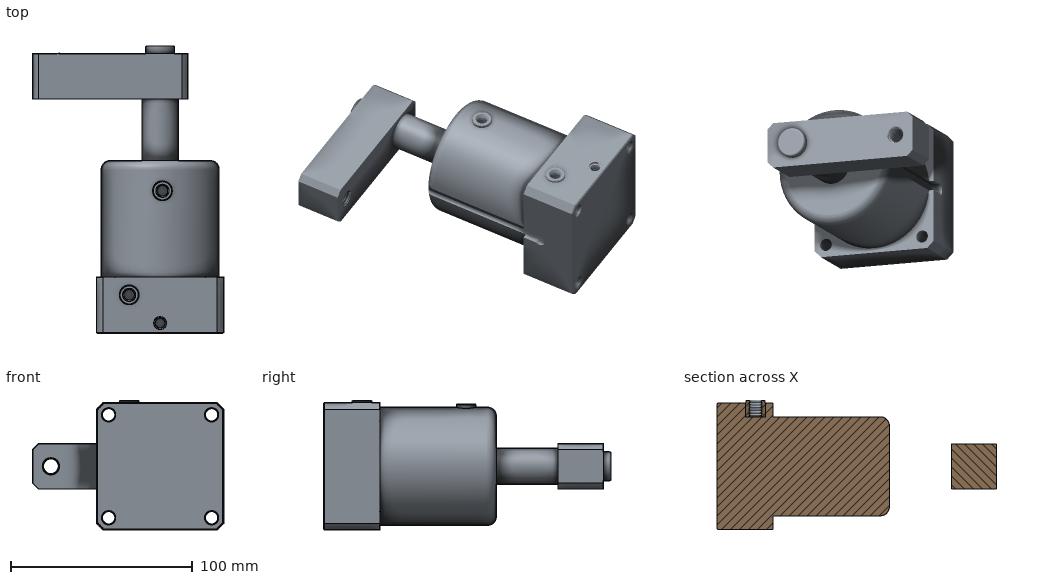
import cadquery as cq


BASE_SIDE = 70.0
BASE_LENGTH = 31.0
BASE_CORNER = 3.7
BASE_RIM = 0.6
BASE_TOP = BASE_SIDE / 2

BOLT_CIRCLE = 80.0
BOLT_PITCH = BOLT_CIRCLE / 2**0.5
BOLT_HOLE = 6.8
BOLT_HOLE_RIM = 0.5

BARREL_RADIUS = 32.5
BARREL_END = 95.0
BARREL_FILLET = 5.0

SLOT_MOUTH = 5.2
SLOT_WIDTH = 6.6
SLOT_LIP = 0.5
SLOT_DEPTH = 3.5
SLOT_END = 21.0

ROD_DIAMETER = 20.0
ARM_START = 128.8
ARM_SIDE = 25.0
ARM_TIP = -70.0
ARM_HEEL = 15.3
ARM_CORNER = 3.2
ARM_HOLE_X = -60.0
STUD_DIAMETER = 16.0
STUD_END = 158.0
STUD_RIM = 1.0

PORT_OUTER = 10.8
PORT_ROOT = 7.2
PORT_CREST = 5.8
PORT_PITCH = 1.5
PORT_RIDGES = 6
PORT_LENGTH = PORT_PITCH * PORT_RIDGES
PORT_RIM = 0.4
BASE_PORT = (-17.0, 21.2, 36.2)
BARREL_PORT = (1.3, 78.4, 34.1)
PORTS = [BASE_PORT, BARREL_PORT]

COIL_GAP = 0.25
CREST_SHARE = 0.5

VENT_X = 0.0
VENT_Y = 5.7
VENT_OUTER = 7.0
VENT_INNER = 5.4
VENT_PITCH = 1.0
VENT_TURNS = 6
VENT_BOTTOM = BASE_TOP - VENT_PITCH * (VENT_TURNS + 1)

ARM_COIL_OUTER = 9.4
ARM_COIL_INNER = 8.2
ARM_COIL_PITCH = 1.5
ARM_COIL_TURNS = int(ARM_SIDE / ARM_COIL_PITCH)


def along_y(start):
    """Workplane at Y = start whose extrusions run toward +Y."""
    return cq.Workplane(cq.Plane(origin=(0, start, 0), xDir=(1, 0, 0), normal=(0, 1, 0)))


def cylinder_y(diameter, start, end):
    return along_y(start).circle(diameter / 2).extrude(end - start)


def cylinder_z(x, y, diameter, bottom, top):
    return cq.Workplane("XY", origin=(x, y, bottom)).circle(diameter / 2).extrude(top - bottom)


def block(x_start, x_end, y_start, y_end, height):
    """Box centred on Z = 0."""
    return (
        cq.Workplane("XY")
        .box(x_end - x_start, y_end - y_start, height, centered=(False, False, True))
        .translate((x_start, y_start, 0))
    )


def make_coil(outer, inner, pitch, turns):
    """Thread coil standing on the XY plane around Z, tapering toward its inner crest."""
    root = pitch - COIL_GAP
    path = cq.Wire.makeHelix(pitch, pitch * turns, outer / 2)
    profile = (
        cq.Workplane("XZ")
        .moveTo(outer / 2, 0)
        .lineTo(outer / 2, root)
        .lineTo(inner / 2, root * (1 + CREST_SHARE) / 2)
        .lineTo(inner / 2, root * (1 - CREST_SHARE) / 2)
        .close()
    )
    return profile.sweep(cq.Workplane(path), isFrenet=True)


def make_vent_coil():
    coil = make_coil(VENT_OUTER, VENT_INNER, VENT_PITCH, VENT_TURNS)
    return coil.translate((VENT_X, VENT_Y, VENT_BOTTOM))


def make_arm_coil():
    coil = make_coil(ARM_COIL_OUTER, ARM_COIL_INNER, ARM_COIL_PITCH, ARM_COIL_TURNS)
    return coil.rotate((0, 0, 0), (1, 0, 0), -90).translate((ARM_HOLE_X, ARM_START, 0))


def make_port_sleeve(x, y, top):
    """Tube along Z whose bore carries a row of V-shaped ridges."""
    root = PORT_ROOT / 2
    crest = PORT_CREST / 2
    outer = PORT_OUTER / 2
    profile = cq.Workplane("XZ").moveTo(root, 0)
    for ridge in range(PORT_RIDGES):
        profile = profile.lineTo(crest, PORT_PITCH * (ridge + 0.5))
        profile = profile.lineTo(root, PORT_PITCH * (ridge + 1))
    profile = (
        profile.lineTo(outer - PORT_RIM, PORT_LENGTH)
        .lineTo(outer, PORT_LENGTH - PORT_RIM)
        .lineTo(outer, 0)
        .close()
    )
    sleeve = profile.revolve(360, (0, 0, 0), (0, 1, 0))
    return sleeve.translate((x, y, top - PORT_LENGTH))


def make_base():
    base = (
        along_y(0)
        .rect(BASE_SIDE, BASE_SIDE)
        .extrude(BASE_LENGTH)
        .edges("|Y")
        .chamfer(BASE_CORNER)
        .faces("<Y")
        .chamfer(BASE_RIM)
    )
    holes = along_y(0).rect(BOLT_PITCH, BOLT_PITCH, forConstruction=True).vertices()
    drilled = base.cut(holes.circle(BOLT_HOLE / 2).extrude(BASE_LENGTH))
    return drilled.faces("<Y").edges("%CIRCLE").chamfer(BOLT_HOLE_RIM)


def make_barrel():
    barrel = cylinder_y(2 * BARREL_RADIUS, BASE_LENGTH, BARREL_END)
    return barrel.faces(">Y").edges().fillet(BARREL_FILLET)


def make_sensor_slot():
    """Cutter for the T-slot, with a round entry as wide as the slot at its closed end."""
    slot_outer = -BARREL_RADIUS + SLOT_LIP
    slot_floor = -BARREL_RADIUS + SLOT_DEPTH
    mouth = block(-BASE_TOP, slot_floor, SLOT_END, BARREL_END, SLOT_MOUTH)
    slot = block(slot_outer, slot_floor, SLOT_END, BARREL_END, SLOT_WIDTH)
    entry = (
        cq.Workplane("YZ", origin=(-BASE_TOP, SLOT_END, 0))
        .circle(SLOT_WIDTH / 2)
        .extrude(slot_floor + BASE_TOP)
    )
    return mouth.union(slot).union(entry)


def make_housing():
    housing = make_base().union(make_barrel()).cut(make_sensor_slot())
    for x, y, top in PORTS:
        housing = housing.cut(cylinder_z(x, y, PORT_OUTER, top - PORT_LENGTH, top))
    return housing.cut(cylinder_z(VENT_X, VENT_Y, VENT_OUTER, VENT_BOTTOM, BASE_TOP))


def make_rod():
    return cylinder_y(ROD_DIAMETER, BARREL_END, ARM_START)


def make_stud():
    return cylinder_y(STUD_DIAMETER, ARM_START, STUD_END).faces(">Y").edges().fillet(STUD_RIM)


def make_arm():
    arm_end = ARM_START + ARM_SIDE
    bar = block(ARM_TIP, ARM_HEEL, ARM_START, arm_end, ARM_SIDE).edges("|Y").chamfer(ARM_CORNER)
    stud_hole = cylinder_y(STUD_DIAMETER, ARM_START, arm_end)
    coil_hole = cylinder_y(ARM_COIL_OUTER, ARM_START, arm_end).translate((ARM_HOLE_X, 0, 0))
    return bar.cut(stud_hole).cut(coil_hole)


housing = make_housing()
rod = make_rod()
stud = make_stud()
arm = make_arm()
port_sleeves = [make_port_sleeve(x, y, top) for x, y, top in PORTS]
vent_coil = make_vent_coil()
arm_coil = make_arm_coil()

result = cq.Compound.makeCompound(
    [
        housing.val(),
        rod.val(),
        stud.val(),
        arm.val(),
        *[sleeve.val() for sleeve in port_sleeves],
        vent_coil.val(),
        arm_coil.val(),
    ]
)